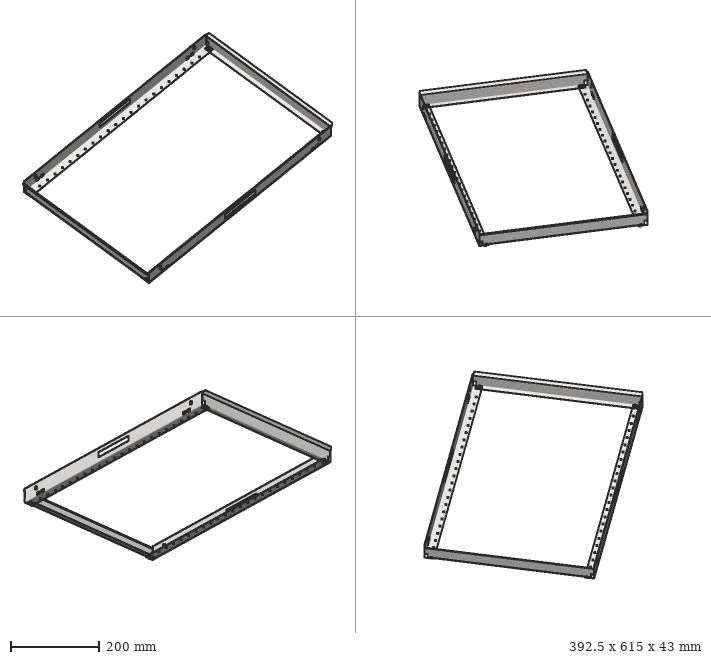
import cadquery as cq
import math

frame_length = 615.0
frame_width = 392.5
frame_height = 43.0

sheet = 1.5
bend_inner = 1.0
bend_outer = bend_inner + sheet

rail_length = 599.0
rail_bottom = 5.5
rail_top = 42.0
rail_flange = 23.0
rail_outer_x = frame_width / 2

handle_length = 100.0
handle_height = 13.0
handle_z = 24.5

upright_slot_width = 7.0
upright_slot_height = 9.0
upright_slot_y = 261.5
upright_slot_z = 27.5

window_width = 8.5
window_top = 14.0
window_positions_y = (239.0, 254.0)

flange_hole_diameter = 3.4
flange_hole_count = 22
flange_hole_span = 525.5
flange_hole_x = 181.0
flange_hole_pitch = flange_hole_span / (flange_hole_count - 1)

panel_outer_y = 301.0
panel_flange = 13.0
panel_bottom = rail_bottom + sheet
panel_width = frame_width - 2 * sheet
lip_angle = math.radians(45)
lip_corner = 3.0
notch_width = 7.0
notch_top = 18.5

pin_x = 179.5
pin_y = 293.0
pin_diameter = 4.0
pin_head_diameter = 11.0
pin_head_height = 2.0
pin_recess_diameter = 5.5
pin_recess_depth = 1.0
pin_tip_chamfer = 0.5
pin_seat = panel_bottom + sheet


def box(x_range, y_range, z_range):
    """Box between the given limits along each axis."""
    lows, highs = zip(x_range, y_range, z_range)
    sizes = [high - low for low, high in zip(lows, highs)]
    return cq.Workplane("XY").box(*sizes, centered=False).translate(lows)


def corner_holes(bottom, top):
    """Cylinders that clear the four pin shanks."""
    return (
        cq.Workplane("XY", origin=(0, 0, bottom))
        .rect(2 * pin_x, 2 * pin_y, forConstruction=True)
        .vertices()
        .circle(pin_diameter / 2)
        .extrude(top - bottom)
    )


def make_side_rail():
    """L-shaped rail on the -X side, with its flange pointing inward."""
    inner_x = -rail_outer_x + sheet
    flange_top = rail_bottom + sheet
    profile = (
        cq.Workplane("XZ", origin=(0, rail_length / 2, 0))
        .moveTo(-rail_outer_x, rail_top)
        .lineTo(-rail_outer_x, rail_bottom + bend_outer)
        .radiusArc((-rail_outer_x + bend_outer, rail_bottom), -bend_outer)
        .lineTo(-rail_outer_x + rail_flange, rail_bottom)
        .lineTo(-rail_outer_x + rail_flange, flange_top)
        .lineTo(inner_x + bend_inner, flange_top)
        .radiusArc((inner_x, flange_top + bend_inner), bend_inner)
        .lineTo(inner_x, rail_top)
        .close()
    )
    rail = profile.extrude(rail_length)

    wall = cq.Workplane("YZ", origin=(-rail_outer_x, 0, 0))
    rail = rail.cut(wall.center(0, handle_z).rect(handle_length, handle_height).extrude(sheet))
    upright_slots = (
        wall.pushPoints([(-upright_slot_y, upright_slot_z), (upright_slot_y, upright_slot_z)])
        .slot2D(upright_slot_height, upright_slot_width, 90)
        .extrude(sheet)
    )
    rail = rail.cut(upright_slots)
    for side in (-1, 1):
        for y in window_positions_y:
            centre = side * y
            window_y = (centre - window_width / 2, centre + window_width / 2)
            rail = rail.cut(box((-rail_outer_x, inner_x), window_y, (rail_bottom + bend_outer, window_top)))

    flange_holes = (
        cq.Workplane("XY", origin=(-flange_hole_x, 0, rail_bottom))
        .rarray(6, flange_hole_pitch, 1, flange_hole_count)
        .circle(flange_hole_diameter / 2)
        .extrude(sheet)
    )
    return rail.cut(flange_holes).cut(corner_holes(rail_bottom, flange_top))


def make_end_panel():
    """End panel on the -Y side: inward flange, wall and outward lip."""
    outer = -panel_outer_y
    inner = outer + sheet
    flange_top = panel_bottom + sheet
    lip_reach = frame_length / 2 - panel_outer_y
    lip_step = sheet * math.sin(lip_angle)
    lip_end = -frame_length / 2
    lip_start = frame_height - lip_step - lip_reach
    inner_bend = lip_start + sheet * math.tan(lip_angle / 2)
    profile = (
        cq.Workplane("YZ", origin=(-panel_width / 2, 0, 0))
        .moveTo(outer, lip_start)
        .lineTo(outer, panel_bottom + bend_outer)
        .radiusArc((outer + bend_outer, panel_bottom), -bend_outer)
        .lineTo(outer + panel_flange, panel_bottom)
        .lineTo(outer + panel_flange, flange_top)
        .lineTo(inner + bend_inner, flange_top)
        .radiusArc((inner, flange_top + bend_inner), bend_inner)
        .lineTo(inner, inner_bend)
        .lineTo(lip_end + lip_step, frame_height)
        .lineTo(lip_end, frame_height - lip_step)
        .close()
    )
    panel = profile.extrude(panel_width)

    for side in (-1, 1):
        edge = side * panel_width / 2
        notch_x = sorted([edge, edge - side * notch_width])
        panel = panel.cut(box(notch_x, (outer, outer + panel_flange), (panel_bottom, notch_top)))
        corner = (
            cq.Workplane("XY", origin=(0, 0, lip_start))
            .moveTo(edge, lip_end)
            .lineTo(edge - side * lip_corner, lip_end)
            .lineTo(edge, lip_end + lip_corner)
            .close()
            .extrude(frame_height - lip_start)
        )
        panel = panel.cut(corner)
    return panel.cut(corner_holes(panel_bottom, flange_top))


def make_pin(x, y):
    """Pin with a recessed head that hangs through the panel flange and the rail flange."""
    seat = cq.Workplane("XY", origin=(x, y, pin_seat))
    head = (
        seat.circle(pin_head_diameter / 2)
        .extrude(pin_head_height)
        .faces(">Z")
        .workplane()
        .hole(pin_recess_diameter, pin_recess_depth)
    )
    shank = seat.circle(pin_diameter / 2).extrude(-pin_seat).faces("<Z").chamfer(pin_tip_chamfer)
    return shank.union(head)


side_rail = make_side_rail()
end_panel = make_end_panel()
side_rails = [side_rail.rotate((0, 0, 0), (0, 0, 1), angle) for angle in (0, 180)]
end_panels = [end_panel.rotate((0, 0, 0), (0, 0, 1), angle) for angle in (0, 180)]
pins = [make_pin(x, y) for x in (-pin_x, pin_x) for y in (-pin_y, pin_y)]

result = cq.Compound.makeCompound([body.val() for body in side_rails + end_panels + pins])